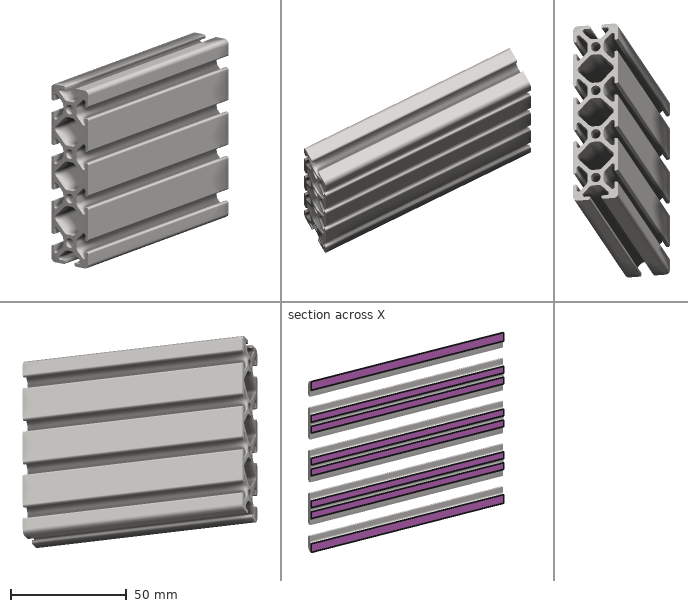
import cadquery as cq
import math

cell = 20.0
cell_count = 4
length = 100.0
corner_radius = 2.0

slot_opening = 5.15
lip_thickness = 1.55
lip_radius = 0.8
slot_ear_radius = 0.9

bore_diameter = 4.3
core_half = 3.55
core_radius = 2.5
web_thickness = 1.95
cavity_side_radius = 1.5

width = cell
height = cell * cell_count
half_cell = cell / 2
overcut = 1.0
web_offset = web_thickness / math.sqrt(2)
floor_half = core_half - web_offset
cell_centers = [cell * (i + 0.5) - height / 2 for i in range(cell_count)]


def prism(points):
    """Full-length prism from (x, z) section points, starting at y = 0."""
    return cq.Workplane("XZ").polyline(points).close().extrude(-length)


def edges_at(points):
    """Selector for the lengthwise edges through the given (x, z) points."""
    tolerance = 0.01
    boxes = [
        cq.selectors.BoxSelector(
            (x - tolerance, -overcut, z - tolerance),
            (x + tolerance, length + overcut, z + tolerance),
        )
        for x, z in points
    ]
    selector = boxes[0]
    for box in boxes[1:]:
        selector = selector + box
    return selector


def slot_cutter():
    """T-slot opening toward +Z for a cell centred on the origin."""
    lip_inner = half_cell - lip_thickness
    mouth_half = slot_opening / 2
    ear_half = lip_inner - web_offset
    outer = half_cell + overcut
    floor = [(floor_half, core_half), (-floor_half, core_half)]
    ears = [(ear_half, lip_inner), (-ear_half, lip_inner)]
    points = [
        floor[1],
        floor[0],
        ears[0],
        (mouth_half, lip_inner),
        (mouth_half, outer),
        (-mouth_half, outer),
        (-mouth_half, lip_inner),
        ears[1],
    ]
    cutter = prism(points).edges(edges_at(floor)).fillet(core_radius)
    return cutter.edges(edges_at(ears)).fillet(slot_ear_radius)


def cavity_cutter():
    """Closed cavity between two neighbouring cells, centred on the origin."""
    end_z = half_cell - core_half
    side_x = half_cell - web_offset
    sides = [(side_x, 0), (-side_x, 0)]
    upper = [(floor_half, end_z), (-floor_half, end_z)]
    lower = [(-floor_half, -end_z), (floor_half, -end_z)]
    cutter = prism([sides[0], *upper, sides[1], *lower])
    cutter = cutter.edges(edges_at(upper + lower)).fillet(core_radius)
    return cutter.edges(edges_at(sides)).fillet(cavity_side_radius)


def turned_slot(angle, z):
    """T-slot turned about Y by the angle and moved to a cell centre."""
    return slot_cutter().rotate((0, 0, 0), (0, 1, 0), angle).translate((0, 0, z))


def round_lips(body):
    """Round the outer edge of every slot lip."""
    mouth_half = slot_opening / 2
    lips = []
    for sign in (1, -1):
        for z in cell_centers:
            lips += [(sign * width / 2, z + mouth_half), (sign * width / 2, z - mouth_half)]
        lips += [(mouth_half, sign * height / 2), (-mouth_half, sign * height / 2)]
    return body.edges(edges_at(lips)).fillet(lip_radius)


body = cq.Workplane("XY").box(width, length, height, centered=(True, False, True))
body = body.edges("|Y").fillet(corner_radius)

for center in cell_centers:
    body = body.cut(turned_slot(90, center))
    body = body.cut(turned_slot(-90, center))
body = body.cut(turned_slot(0, cell_centers[-1]))
body = body.cut(turned_slot(180, cell_centers[0]))
body = round_lips(body)

for center in cell_centers[:-1]:
    body = body.cut(cavity_cutter().translate((0, 0, center + half_cell)))

bores = (
    cq.Workplane("XZ")
    .pushPoints([(0, center) for center in cell_centers])
    .circle(bore_diameter / 2)
    .extrude(-length)
)

result = body.cut(bores)